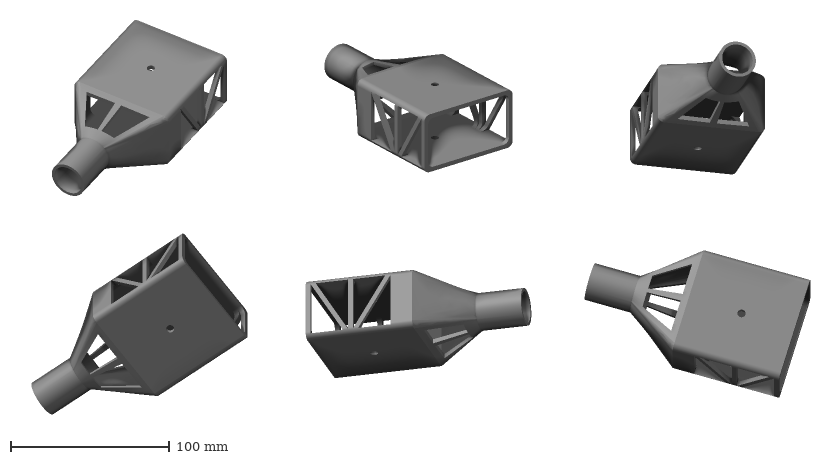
import cadquery as cq
import math

BOX_WIDTH = 70.0
BOX_LENGTH = 70.0
BOX_HEIGHT = 40.0
HOOD_LENGTH = 35.0
SPOUT_LENGTH = 135 - BOX_LENGTH - HOOD_LENGTH
SPOUT_OUTER_RADIUS = 12.0
SPOUT_BORE_RADIUS = 10.0
CORNER_RADIUS = 4.0
WALL = 3.0
INNER_WIDTH = BOX_WIDTH - 2 * WALL
INNER_HEIGHT = BOX_HEIGHT - 2 * WALL

BOX_REAR_Y = BOX_LENGTH
SPOUT_START_Y = -HOOD_LENGTH

CORNER_ARC_HALF_ANGLE = 1.5

SCREW_HOLE_DIAMETER = 5.1

HOOD_WINDOW_REAR_Y = -4.5
HOOD_WINDOW_FRONT_Y = -27.0
HOOD_RIB_REAR_HALF_WIDTH = 2.3
HOOD_RIB_FRONT_HALF_WIDTH = 1.4
HOOD_WINDOW_REAR_OUTER_X = 23.4
HOOD_WINDOW_FRONT_OUTER_X = 10.8

POST_WIDTH = 3.1
TRUSS_BAY_LENGTH = 24.8
STRUT_LENGTH_ALONG_Y = 3.5


def rounded_rectangle(width, height, radius, y):
    """Closed wire in the XZ plane at y, starting at the top of the right side."""
    half_w = width / 2
    half_h = height / 2
    mid = radius * (1 - math.sqrt(0.5))
    return (
        cq.Workplane("XZ", origin=(0, y, 0))
        .moveTo(half_w, half_h - radius)
        .threePointArc((half_w - mid, half_h - mid), (half_w - radius, half_h))
        .lineTo(radius - half_w, half_h)
        .threePointArc((mid - half_w, half_h - mid), (-half_w, half_h - radius))
        .lineTo(-half_w, radius - half_h)
        .threePointArc((mid - half_w, mid - half_h), (radius - half_w, -half_h))
        .lineTo(half_w - radius, -half_h)
        .threePointArc((half_w - mid, mid - half_h), (half_w, radius - half_h))
        .close()
        .val()
    )


def split_circle(radius, y):
    """Circle of eight arcs that pair with the edges of the rounded rectangle."""

    def point(degrees):
        angle = math.radians(degrees)
        return (radius * math.cos(angle), radius * math.sin(angle))

    first = 45 - CORNER_ARC_HALF_ANGLE
    path = cq.Workplane("XZ", origin=(0, y, 0)).moveTo(*point(first))
    for quadrant in range(4):
        corner = 45 + 90 * quadrant
        path = path.threePointArc(point(corner), point(corner + CORNER_ARC_HALF_ANGLE))
        path = path.threePointArc(point(corner + 45), point(corner + 90 - CORNER_ARC_HALF_ANGLE))
    return path.wire().val()


def funnel(width, height, corner_radius, spout_radius):
    """Solid box, hood and spout with the given section sizes."""
    box_section = rounded_rectangle(width, height, corner_radius, 0)
    spout_section = split_circle(spout_radius, SPOUT_START_Y)
    box = cq.Workplane(
        cq.Solid.extrudeLinear(box_section, [], cq.Vector(0, BOX_LENGTH, 0))
    )
    hood = cq.Workplane(cq.Solid.makeLoft([box_section, spout_section], True))
    spout = (
        cq.Workplane("XZ", origin=(0, SPOUT_START_Y, 0))
        .circle(spout_radius)
        .extrude(SPOUT_LENGTH)
    )
    return box.union(hood).union(spout)


def hood_windows():
    """Left and right tapered windows cut straight through roof and floor."""
    right_window = (
        cq.Workplane("XY")
        .polyline(
            [
                (HOOD_RIB_REAR_HALF_WIDTH, HOOD_WINDOW_REAR_Y),
                (HOOD_WINDOW_REAR_OUTER_X, HOOD_WINDOW_REAR_Y),
                (HOOD_WINDOW_FRONT_OUTER_X, HOOD_WINDOW_FRONT_Y),
                (HOOD_RIB_FRONT_HALF_WIDTH, HOOD_WINDOW_FRONT_Y),
            ]
        )
        .close()
        .extrude(BOX_HEIGHT / 2, both=True)
    )
    return right_window.union(right_window.mirror("YZ"))


def truss_windows():
    """Two triangles per bay; the struts meet at the foot of the middle post."""
    half_h = INNER_HEIGHT / 2
    leg = TRUSS_BAY_LENGTH - STRUT_LENGTH_ALONG_Y
    rear_bay_outer = BOX_REAR_Y - POST_WIDTH
    front_bay_outer = rear_bay_outer - 2 * TRUSS_BAY_LENGTH - POST_WIDTH
    windows = cq.Workplane("YZ")
    for outer_y, inward in ((rear_bay_outer, -1), (front_bay_outer, 1)):
        inner_y = outer_y + inward * TRUSS_BAY_LENGTH
        lower = [(outer_y, half_h), (outer_y, -half_h), (outer_y + inward * leg, -half_h)]
        upper = [(inner_y, -half_h), (inner_y, half_h), (inner_y - inward * leg, half_h)]
        for triangle in (lower, upper):
            windows = windows.polyline(triangle).close()
    return windows.extrude(BOX_WIDTH / 2, both=True)


def screw_hole():
    """Vertical hole at the middle of the box."""
    return (
        cq.Workplane("XY")
        .center(0, BOX_LENGTH / 2)
        .circle(SCREW_HOLE_DIAMETER / 2)
        .extrude(BOX_HEIGHT / 2, both=True)
    )


outer = funnel(BOX_WIDTH, BOX_HEIGHT, CORNER_RADIUS, SPOUT_OUTER_RADIUS)
inner = funnel(INNER_WIDTH, INNER_HEIGHT, CORNER_RADIUS, SPOUT_BORE_RADIUS)
result = outer.cut(inner).cut(hood_windows()).cut(truss_windows()).cut(screw_hole())